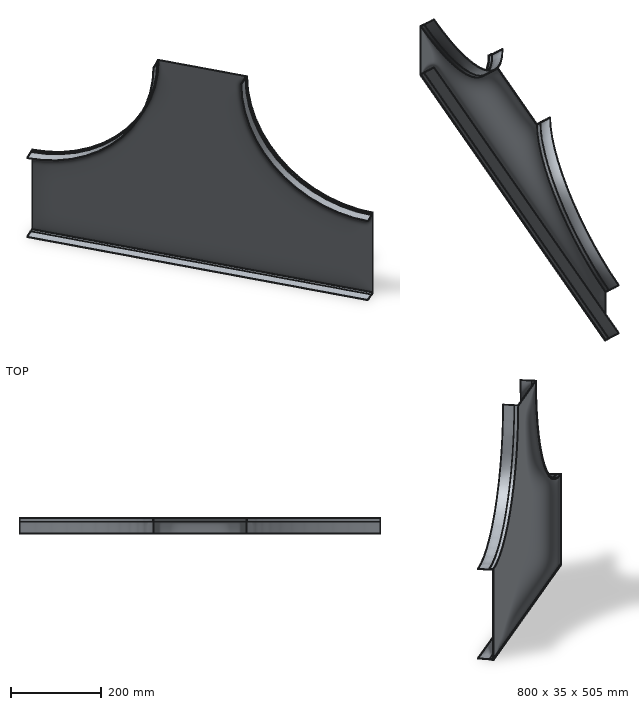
import cadquery as cq

length = 800.0
depth = 35.0
height = 505.0
sheet = 1.2
corner_radius = 295.0
lip_depth = 10.0

half_length = length / 2
back = depth / 2
wall_radius = corner_radius + sheet
wall_back = back - sheet
wall_depth = depth - sheet
sides = (-1, 1)


def slab(x_size, z_size, y_back, y_size):
    """Block centred in X, standing on Z = 0, reaching forward (-Y) from y_back."""
    return (
        cq.Workplane("XY")
        .box(x_size, y_size, z_size, centered=(True, False, False))
        .translate((0, y_back - y_size, 0))
    )


def corner_disc(side, radius, y_back, y_size):
    """Disc about an upper corner of the outline; side is -1 or +1 in X."""
    return (
        cq.Workplane("XZ", origin=(side * half_length, y_back, height))
        .circle(radius)
        .extrude(y_size)
    )


def corner_arc(side, radius, y_back, y_size):
    """One-sheet-thick quarter ring about an upper corner of the outline."""
    outer = corner_disc(side, radius + sheet, y_back, y_size)
    inner = corner_disc(side, radius, y_back, y_size)
    return outer.cut(inner).intersect(slab(length, height, y_back, y_size))


def make_cover():
    """Tee-shaped sheet with a lip along its bottom edge and both concave corners."""
    cover = slab(length, height, back, sheet)
    for side in sides:
        cover = cover.cut(corner_disc(side, corner_radius, back, sheet))
        cover = cover.union(corner_arc(side, corner_radius, back, lip_depth))
    return cover.union(slab(length, sheet, back, lip_depth))


def make_bottom_wall():
    """Straight wall against the cover's sheet, resting on the bottom lip."""
    return slab(length, sheet, wall_back, wall_depth).translate((0, 0, sheet))


def make_corner_wall(side):
    """Curved wall against the cover's sheet, nested behind a corner lip."""
    return corner_arc(side, wall_radius, wall_back, wall_depth)


cover = make_cover()
bottom_wall = make_bottom_wall()
corner_walls = [make_corner_wall(side) for side in sides]

result = cq.Compound.makeCompound(
    [cover.val(), bottom_wall.val(), *[wall.val() for wall in corner_walls]]
)